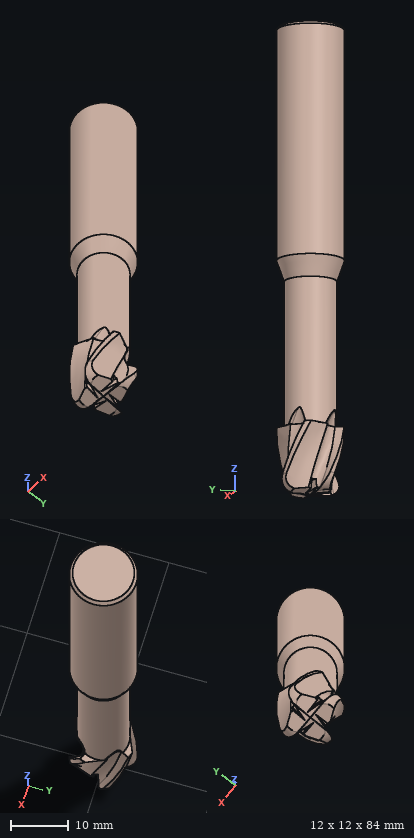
import cadquery as cq
import math

total_length = 84
shank_diameter = 12.0
shank_radius = shank_diameter / 2
shank_start = 42
cone_start = 38.2
neck_diameter = 9.3
neck_radius = neck_diameter / 2
shank_chamfer = 0.6

teeth = 4
tooth_pitch = 360 / teeth
head_length = 12.0
head_radius = shank_radius
corner_radius = 3.0
head_twist = 60
loft_steps = 8

land_angle = 11
heel_angle_top = 51
heel_angle_bottom = 62
root_radius = 4.4
heel_radius_top = 4.6
heel_radius_bottom = 3.5
floor_radius_top = 3.7
floor_radius_bottom = 3.3
top_edge_angle = -27
tooth_overrun = 0.4

gash_depth = 2.1
gash_lead = 1.0
gash_width = 1.6
gash_start = 0.4
end_relief_angle = 9

runout_top = 14.8
runout_tip_angle = -41
runout_tip_scale = 0.2
runout_heel_radius = 4.4
runout_opening = 60


def polar(radius, angle):
    """Point in the XY plane at a radius and an angle in degrees."""
    turn = math.radians(angle)
    return cq.Vector(radius * math.cos(turn), radius * math.sin(turn))


def blend(start, end, share):
    """Value part of the way from start to end."""
    return start + (end - start) * share


def extend(start, end, distance):
    """Point beyond the end of a line, by a distance."""
    return end + (end - start).normalized() * distance


def flute_points(height_share, edge_angle):
    """Heel, floor middle and root of the flute that lies in front of a cutting edge.

    The height share runs from 0 at the cutting end to 1 at the top of the head.
    """
    heel_angle = edge_angle - tooth_pitch + blend(heel_angle_bottom, heel_angle_top, height_share)
    floor_angle = (heel_angle + edge_angle) / 2
    return (
        polar(blend(heel_radius_bottom, heel_radius_top, height_share), heel_angle),
        polar(blend(floor_radius_bottom, floor_radius_top, height_share), floor_angle),
        polar(root_radius, edge_angle),
    )


def head_section(height_share):
    """Closed outline of all teeth at one height, with the tooth tips overlong."""
    height = head_length * height_share
    first_edge = top_edge_angle - head_twist * (1 - height_share)
    edges = []
    for tooth in range(teeth):
        edge_angle = first_edge + tooth * tooth_pitch
        root = polar(root_radius, edge_angle)
        next_heel, next_floor, next_root = flute_points(height_share, edge_angle + tooth_pitch)
        front_tip = extend(root, polar(head_radius, edge_angle), tooth_overrun)
        back_tip = extend(next_heel, polar(head_radius, edge_angle + land_angle), tooth_overrun)
        edges += [
            cq.Edge.makeLine(root, front_tip),
            cq.Edge.makeLine(front_tip, back_tip),
            cq.Edge.makeLine(back_tip, next_heel),
            cq.Edge.makeThreePointArc(next_heel, next_floor, next_root),
        ]
    return cq.Wire.assembleEdges(edges).translate(cq.Vector(0, 0, height))


def head_envelope():
    """Cylinder that the teeth are turned down to, with a rounded lower corner."""
    cylinder = cq.Workplane("XY").circle(head_radius).extrude(head_length)
    return cylinder.faces("<Z").edges().fillet(corner_radius)


def end_gash():
    """Three-sided pocket in the cutting end, in front of a tooth whose edge lies along +X."""
    outline = [
        (gash_start, -gash_lead),
        (head_radius, -gash_lead),
        (head_radius, gash_width - gash_lead),
    ]
    return cq.Workplane("XY").polyline(outline).close().extrude(gash_depth)


def end_relief():
    """Wedge below the end face of a tooth, growing deeper behind an edge along +X."""
    rise = head_radius * math.tan(math.radians(end_relief_angle))
    wedge = cq.Workplane("YZ").polyline([(0, 0), (head_radius, 0), (head_radius, rise)]).close()
    return wedge.extrude(head_radius)


def make_cutting_head():
    """Twisted teeth, turned to size, each with a gash and a relieved end face."""
    sections = [head_section(step / loft_steps) for step in range(loft_steps + 1)]
    head = cq.Workplane(cq.Solid.makeLoft(sections)).intersect(head_envelope())
    for tooth in range(teeth):
        edge_angle = top_edge_angle - head_twist + tooth * tooth_pitch
        for cutter in (end_gash(), end_relief()):
            head = head.cut(cutter.rotate((0, 0, 0), (0, 0, 1), edge_angle))
    return head.solids()


def runout_outline(heel, floor, root, relief_side, rake_side):
    """Closed outline across one flute, open to the outside of the neck."""
    return cq.Wire.assembleEdges([
        cq.Edge.makeLine(relief_side, heel),
        cq.Edge.makeThreePointArc(heel, floor, root),
        cq.Edge.makeLine(root, rake_side),
        cq.Edge.makeLine(rake_side, relief_side),
    ])


def flute_runout(tooth):
    """Tapering end of one flute, fading out on the neck surface."""
    edge_angle = top_edge_angle + tooth * tooth_pitch
    top_floor, top_root = flute_points(1, edge_angle)[1:]
    heel = polar(runout_heel_radius, edge_angle + heel_angle_top - tooth_pitch)
    relief_side = polar(head_radius, edge_angle - runout_opening)
    rake_side = polar(head_radius, edge_angle)
    base = [heel, top_floor, top_root, relief_side, rake_side]
    tip_centre = polar(neck_radius, runout_tip_angle + tooth * tooth_pitch)
    tip = [tip_centre + (point - top_floor) * runout_tip_scale for point in base]
    lower = runout_outline(*base).translate(cq.Vector(0, 0, head_length))
    upper = runout_outline(*tip).translate(cq.Vector(0, 0, runout_top))
    return cq.Workplane(cq.Solid.makeLoft([lower, upper], True))


def make_shank():
    """Shank, cone and neck, with the flutes running out in the neck."""
    profile = [
        (0, head_length),
        (0, total_length),
        (shank_chamfer - shank_radius, total_length),
        (-shank_radius, total_length - shank_chamfer),
        (-shank_radius, shank_start),
        (-neck_radius, cone_start),
        (-neck_radius, head_length),
    ]
    shank = cq.Workplane("YZ").polyline(profile).close().revolve(360, (0, 0, 0), (0, 1, 0))
    for tooth in range(teeth):
        shank = shank.cut(flute_runout(tooth))
    return shank.solids()


cutting_head = make_cutting_head()
shank = make_shank()

result = cq.Compound.makeCompound([cutting_head.val(), shank.val()])